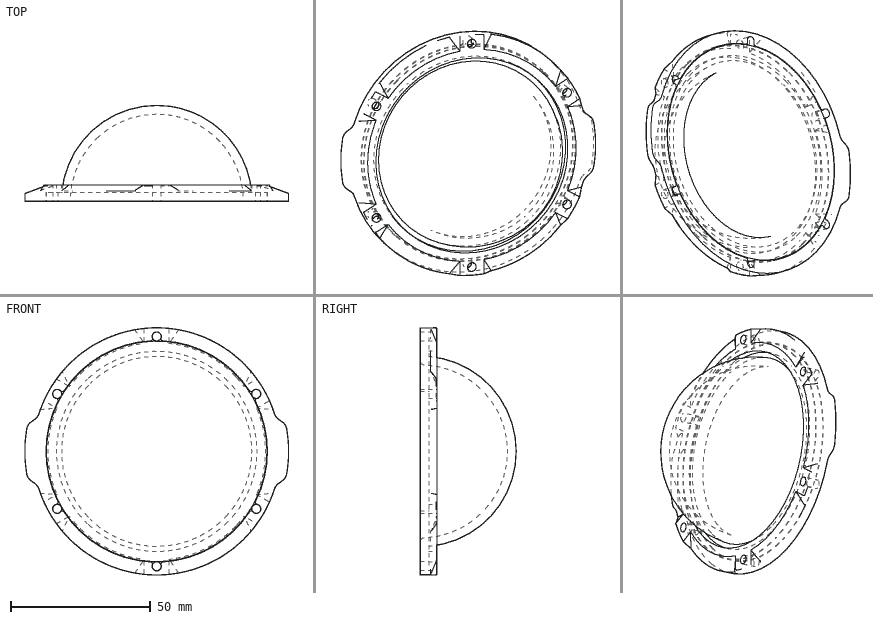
import cadquery as cq
import math


total_depth = 34.55
dome_outer_radius = 34.29
dome_wall = 3.175
dome_inner_radius = dome_outer_radius - dome_wall
dome_center_y = total_depth - dome_outer_radius
mouth_round = 1.5
flange_radius = 39.6
flange_thickness = dome_wall

ring_radius = 44.45
wall_tolerance = 0.01
ring_thickness = 6.0
radial_gap = 0.2
recess_radius = flange_radius + radial_gap
lip_bore_radius = 36.0
back_flat_radius = 39.1
rim_height = 4.0
cone_overhang = 1.0
back_slope = (ring_thickness - rim_height) / (ring_radius - back_flat_radius)
rim_round = 0.4
rim_min_height = 2.0

ear_radius = 47.43
ear_side_angle = 35.0
ear_side_apex_z = 42.2
ear_side_apex_x = ear_side_apex_z / math.tan(math.radians(ear_side_angle))
ear_round = 4.0
ear_band_half_height = 14.0

hole_count = 6
hole_circle_radius = 41.275
hole_diameter = 3.2
notch_round = 0.8
boss_top_half_width = 4.5
boss_side_run = 3.4
boss_base_half_width = boss_top_half_width + boss_side_run
hole_angles = [90 + i * 360 / hole_count for i in range(hole_count)]


def front_plane():
    """Sketch plane at the mating face; negative extrusions grow toward +Y."""
    return cq.Workplane("XZ")


def revolve_about_y(profile):
    """Full turn of a half section drawn in the XY plane."""
    return profile.close().revolve(360, (0, 0, 0), (0, 1, 0))


def on_sphere(radius, y):
    """Point of a dome sphere's half section at height y."""
    return (math.sqrt(radius**2 - (y - dome_center_y)**2), y)


def make_dome():
    """Spherical shell with a flat flange and a rounded mouth."""
    round_path_radius = dome_inner_radius + mouth_round
    round_center_rise = mouth_round - dome_center_y
    round_center_x = math.sqrt(round_path_radius**2 - round_center_rise**2)
    tangent_y = dome_center_y + round_center_rise * dome_inner_radius / round_path_radius
    diagonal_step = mouth_round * math.sqrt(0.5)
    mid_height = total_depth / 2
    profile = (
        cq.Workplane("XY")
        .moveTo(round_center_x, 0)
        .lineTo(flange_radius, 0)
        .lineTo(flange_radius, flange_thickness)
        .lineTo(*on_sphere(dome_outer_radius, flange_thickness))
        .threePointArc(on_sphere(dome_outer_radius, mid_height), (0, total_depth))
        .lineTo(0, total_depth - dome_wall)
        .threePointArc(
            on_sphere(dome_inner_radius, mid_height),
            on_sphere(dome_inner_radius, tangent_y),
        )
        .threePointArc(
            (round_center_x - diagonal_step, mouth_round - diagonal_step),
            (round_center_x, 0),
        )
    )
    return revolve_about_y(profile)


def make_outline(height):
    """Round ring with the two blended ears, as a plain prism."""
    ears = (
        front_plane()
        .polyline([
            (ear_side_apex_x, 0),
            (0, ear_side_apex_z),
            (-ear_side_apex_x, 0),
            (0, -ear_side_apex_z),
        ])
        .close()
        .extrude(-height)
        .intersect(front_plane().circle(ear_radius).extrude(-height))
    )
    disc = front_plane().circle(ring_radius).extrude(-height)
    corners = disc.union(ears).edges("|Y").filter(lambda e: abs(e.Center().z) > ear_round)
    return corners.fillet(ear_round)


def make_back_cone():
    """Solid envelope with a flat back that slopes down toward the ears."""
    edge_radius = ear_radius + cone_overhang
    edge_height = ring_thickness - back_slope * (edge_radius - back_flat_radius)
    profile = cq.Workplane("XY").polyline([
        (0, 0),
        (edge_radius, 0),
        (edge_radius, edge_height),
        (back_flat_radius, ring_thickness),
        (0, ring_thickness),
    ])
    return revolve_about_y(profile)


def make_boss(angle):
    """Radial pad at full ring thickness with sloping sides."""
    return (
        cq.Workplane("XY")
        .polyline([
            (-boss_base_half_width, rim_height),
            (boss_base_half_width, rim_height),
            (boss_top_half_width, ring_thickness),
            (-boss_top_half_width, ring_thickness),
        ])
        .close()
        .extrude(ear_radius)
        .rotate((0, 0, 0), (0, 1, 0), 90 - angle)
    )


def screw_holes(depth):
    """Pins on the hole circle that cut the screw holes."""
    return (
        front_plane()
        .polarArray(hole_circle_radius, hole_angles[0], 360, hole_count)
        .circle(hole_diameter / 2)
        .extrude(-depth)
    )


def make_recess():
    """Seat for the dome flange, opened into the screw holes with rounded corners."""
    recess = front_plane().circle(recess_radius).extrude(-flange_thickness)
    holes = screw_holes(flange_thickness)
    return recess.union(holes).edges("|Y").fillet(notch_round)


def is_back_rim_edge(edge):
    """True for the chain of edges around the back of the outer side wall."""
    middle = edge.positionAt(0.5)
    ends = (edge.startPoint(), edge.endPoint())
    at_back = all(p.y > rim_min_height for p in ends)
    at_wall = all(math.hypot(p.x, p.z) > ring_radius - wall_tolerance for p in (middle, *ends))
    return at_back and at_wall


def round_back_rim(body):
    """Body with the back edge of its outer wall rounded."""
    return body.edges().filter(is_back_rim_edge).fillet(rim_round)


def make_ring():
    """Round disc with bosses, joined to the eared outline, then bored and drilled."""
    cone = make_back_cone()
    envelope = cone
    for angle in hole_angles:
        envelope = envelope.union(make_boss(angle))
    disc = front_plane().circle(ring_radius).extrude(-ring_thickness)
    bossed_disc = round_back_rim(disc.intersect(envelope))
    eared_plate = round_back_rim(make_outline(ring_thickness).intersect(cone))
    ear_band = cq.Workplane("XY").box(3 * ear_radius, 3 * ring_thickness, 2 * ear_band_half_height)

    lip_bore = front_plane().circle(lip_bore_radius).extrude(-ring_thickness)
    ring = bossed_disc.cut(ear_band).union(eared_plate.intersect(ear_band))
    return ring.cut(lip_bore).cut(screw_holes(ring_thickness)).cut(make_recess())


dome = make_dome()
ring = make_ring()
result = cq.Compound.makeCompound([dome.val(), ring.val()])